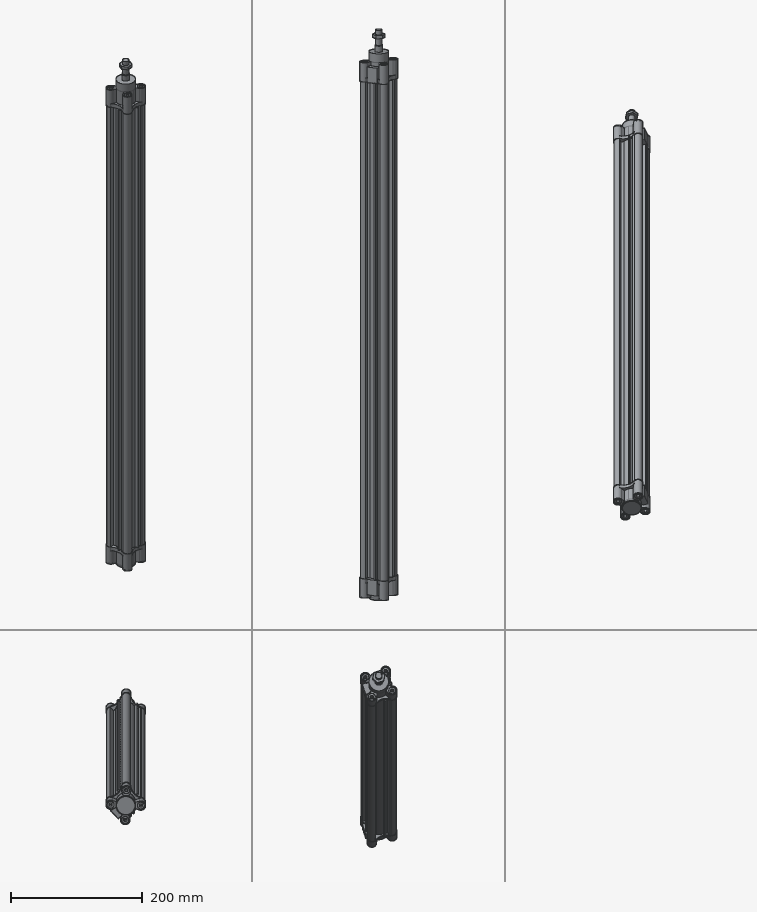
import cadquery as cq
import math


overall_length = 896.0
rear_collar_height = 4.0
rod_projection = 48.0
head_length = 30.5
flange_thickness = 6.5
rear_collar_chamfer = 1.0
front_collar_height = 14.0
thread_length = 23.5
nut_height = 5.0
nut_to_tip = 7.0

rear_face_z = rear_collar_height
front_face_z = overall_length - rod_projection
barrel_bottom_z = rear_face_z + head_length
barrel_top_z = front_face_z - head_length
barrel_length = barrel_top_z - barrel_bottom_z
notch_length = head_length - flange_thickness

head_width = 47.0
post_spacing = 32.5
corner_centre = post_spacing / 2
head_corner_radius = (head_width - post_spacing) / 2
collar_diameter = 30.0
hollow_tilt = math.radians(36)
notch_wall_tilt = math.radians(65)
screw_hole_diameter = 4.92
screw_hole_depth = 16.0
screw_recess_diameter = 10.6
screw_recess_depth = 1.0
port_boss_width = 17.0
port_boss_drop = 6.0

barrel_width = 45.5
barrel_corner_radius = 7.0
barrel_core_diameter = 32.0
barrel_post_centre = barrel_width / 2 - barrel_corner_radius
lip_reach = 21.8
lip_end = barrel_post_centre - math.sqrt(barrel_corner_radius**2 - (lip_reach - barrel_post_centre) ** 2)
channel_left = -lip_end
channel_right = 2.2
channel_floor = 14.0
slot_left = 4.6
slot_right = 9.0
slot_floor = 16.0

rod_diameter = 12.0
thread_diameter = 10.0
nut_width = 17.0

quarter_turns = (0, 90, 180, 270)


def corner_cylinders(spacing, radius, length):
    """Four upright cylinders on the corners of a square, standing on Z = 0."""
    return (
        cq.Workplane("XY")
        .rect(spacing, spacing, forConstruction=True)
        .vertices()
        .circle(radius)
        .extrude(length)
    )


def turned(point, turn):
    """Point turned about the origin by a quarter-turn angle in degrees."""
    x, y = point
    cos_turn = math.cos(math.radians(turn))
    sin_turn = math.sin(math.radians(turn))
    return (x * cos_turn - y * sin_turn, x * sin_turn + y * cos_turn)


def post_point(tilt):
    """Point on the +X +Y post's round surface that faces +Y, leaning toward -X by the tilt."""
    return (
        corner_centre - head_corner_radius * math.sin(tilt),
        corner_centre + head_corner_radius * math.cos(tilt),
    )


post_tip = post_point(math.radians(-45))


def flange_outline():
    """Four round corners joined by hollow arcs that run into them tangentially."""
    join_x, join_y = post_point(hollow_tilt)
    hollow_radius = join_x / math.sin(hollow_tilt)
    hollow_bottom = join_y - hollow_radius * (1 - math.cos(hollow_tilt))
    outline = cq.Workplane("XY").moveTo(join_x, join_y)
    for turn in quarter_turns:
        outline = outline.threePointArc(turned(post_tip, -turn), turned((join_y, join_x), -turn))
        outline = outline.threePointArc(turned((hollow_bottom, 0), -turn), turned((join_y, -join_x), -turn))
    return outline.close()


def notched_outline():
    """Four round posts whose tangent side walls run in to the central cylinder."""
    join_x, join_y = post_point(notch_wall_tilt)
    core_radius = collar_diameter / 2
    wall_offset = join_y * math.cos(notch_wall_tilt) - join_x * math.sin(notch_wall_tilt)
    foot_angle = math.acos(wall_offset / core_radius) - notch_wall_tilt
    foot_x = core_radius * math.sin(foot_angle)
    foot_y = core_radius * math.cos(foot_angle)
    outline = cq.Workplane("XY").moveTo(join_x, join_y)
    for turn in quarter_turns:
        outline = outline.threePointArc(turned(post_tip, -turn), turned((join_y, join_x), -turn))
        outline = outline.lineTo(*turned((foot_y, foot_x), -turn))
        outline = outline.threePointArc(turned((core_radius, 0), -turn), turned((foot_y, -foot_x), -turn))
        outline = outline.lineTo(*turned((join_y, -join_x), -turn))
    return outline.close()


def make_head():
    """Head with its end face at Z = 0 and the barrel side at Z = head_length."""
    notched_part = notched_outline().extrude(notch_length)
    flange = flange_outline().extrude(flange_thickness).translate((0, 0, notch_length))
    port_boss = (
        cq.Workplane("XY", origin=(0, head_width / 4, port_boss_drop))
        .rect(port_boss_width, head_width / 2)
        .extrude(head_length - port_boss_drop)
    )
    screw_holes = corner_cylinders(post_spacing, screw_hole_diameter / 2, screw_hole_depth)
    screw_recesses = corner_cylinders(post_spacing, screw_recess_diameter / 2, screw_recess_depth)
    return notched_part.union(flange).union(port_boss).cut(screw_holes).cut(screw_recesses)


def side_groove(left, right, floor):
    """Cutter for a straight groove along the barrel's -Y side."""
    return (
        cq.Workplane("XY")
        .moveTo((left + right) / 2, -(floor + head_width / 2) / 2)
        .rect(right - left, head_width / 2 - floor)
        .extrude(barrel_length)
    )


def make_barrel():
    """Extruded profile with the same channel and sensor slot on each of its four sides."""
    post_pitch = 2 * barrel_post_centre
    posts = corner_cylinders(post_pitch, barrel_corner_radius, barrel_length)
    barrel = cq.Workplane("XY").rect(post_pitch, 2 * lip_reach).extrude(barrel_length)
    barrel = barrel.union(cq.Workplane("XY").rect(2 * lip_reach, post_pitch).extrude(barrel_length))
    barrel = barrel.union(posts)
    channel = side_groove(channel_left, channel_right, channel_floor)
    slot = side_groove(slot_left, slot_right, slot_floor)
    for groove in (channel, slot):
        for turn in quarter_turns:
            barrel = barrel.cut(groove.rotate((0, 0, 0), (0, 0, 1), turn))
    core = cq.Workplane("XY").circle(barrel_core_diameter / 2).extrude(barrel_length)
    return barrel.union(core)


def make_body():
    """Barrel, both heads and both collars, bored for the rod through the front head."""
    rear_head = make_head().translate((0, 0, rear_face_z))
    front_head = make_head().mirror("XY").translate((0, 0, front_face_z))
    rear_collar = (
        cq.Workplane("XY")
        .circle(collar_diameter / 2)
        .extrude(barrel_bottom_z)
        .faces("<Z")
        .chamfer(rear_collar_chamfer)
    )
    front_collar = (
        cq.Workplane("XY", origin=(0, 0, barrel_top_z))
        .circle(collar_diameter / 2)
        .extrude(head_length + front_collar_height)
    )
    rod_bore = (
        cq.Workplane("XY", origin=(0, 0, barrel_top_z))
        .circle(rod_diameter / 2)
        .extrude(head_length + front_collar_height)
    )
    body = make_barrel().translate((0, 0, barrel_bottom_z))
    for part in (rear_head, front_head, rear_collar, front_collar):
        body = body.union(part)
    return body.cut(rod_bore)


def make_rod():
    """Piston rod with a chamfered shoulder and a thinner threaded end."""
    shoulder_z = overall_length - thread_length
    shoulder_chamfer = (rod_diameter - thread_diameter) / 2
    shank = (
        cq.Workplane("XY", origin=(0, 0, barrel_top_z))
        .circle(rod_diameter / 2)
        .extrude(shoulder_z - barrel_top_z)
        .faces(">Z")
        .chamfer(shoulder_chamfer)
    )
    thread = (
        cq.Workplane("XY", origin=(0, 0, shoulder_z))
        .circle(thread_diameter / 2)
        .extrude(thread_length)
    )
    return shank.union(thread)


def make_nut():
    """Hexagon nut on the thread, with two flats facing along X."""
    across_corners = nut_width / math.cos(math.radians(30))
    return (
        cq.Workplane("XY", origin=(0, 0, overall_length - nut_to_tip - nut_height))
        .transformed(rotate=(0, 0, 90))
        .polygon(6, across_corners)
        .circle(thread_diameter / 2)
        .extrude(nut_height)
    )


body = make_body()
rod = make_rod()
nut = make_nut()

result = cq.Compound.makeCompound([body.val(), rod.val(), nut.val()])